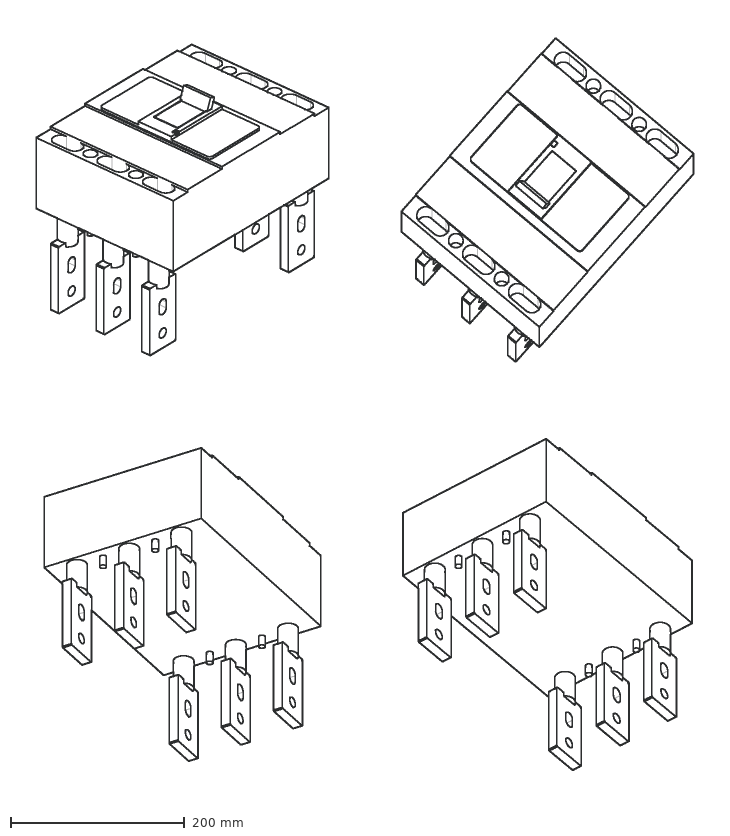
import cadquery as cq
import math

housing_width = 210.0
housing_length = 272.0
ledge_z = 96.0
step_z = 99.5
middle_z = 102.5
step_length = 221.8
middle_length = 101.5

cover_width = 169.0
cover_length = 89.0
cover_corner_radius = 4.5
cover_center_x = 0.3
cover_center_y = -4.3
cover_z = 105.7
panel_width = 50.5
panel_z = 110.0

handle_width = 41.2
handle_thickness = 7.2
handle_lean = math.radians(20)
handle_top_z = 126.0
handle_front_y = 19.5
handle_root_depth = 3.0

window_width = 36.5
window_length = 49.0
window_edge_depth = 1.2
window_crown_depth = 0.5

recess_width = 5.5
recess_length = 6.5
recess_depth = 2.0
recess_x = 22.2
recess_y = -37.2

total_length = 288.0
pole_pitch = 69.7
plate_thickness = 12.0
plate_width = 45.8
plate_top_z = -31.7
plate_bottom_z = -122.0
plate_corner = 1.2
post_diameter = 24.0
post_bottom_z = -37.2
plate_hole_diameter = 12.5
plate_hole_z = -101.7
plate_slot_length = 20.5
plate_slot_z = -66.2

opening_depth = 46.0
slot_length = 42.3

screw_head_diameter = 16.7
screw_head_height = 7.5
screw_flat_diameter = 5.2
screw_shank_diameter = 7.8
screw_end_z = -13.2

terminal_y = (total_length - plate_width) / 2
pole_xs = [-pole_pitch, 0, pole_pitch]
terminal_places = [(x, side * terminal_y) for x in pole_xs for side in (-1, 1)]
screw_places = [(x, side * terminal_y) for x in (-pole_pitch / 2, pole_pitch / 2) for side in (-1, 1)]
slot_width = 2 * (terminal_y - step_length / 2)
opening_floor_z = ledge_z - opening_depth


def block(width, length, bottom_z, top_z, x=0, y=0):
    """Upright box centred on (x, y) between two heights."""
    return (
        cq.Workplane("XY", origin=(x, y, bottom_z))
        .rect(width, length)
        .extrude(top_z - bottom_z)
    )


def make_case():
    """Stepped block with the rounded cover plate and the panel on top."""
    case = block(housing_width, housing_length, 0, ledge_z)
    case = case.union(block(housing_width, step_length, ledge_z, step_z))
    case = case.union(block(housing_width, middle_length, step_z, middle_z))
    cover = block(cover_width, cover_length, middle_z, cover_z, cover_center_x, cover_center_y)
    cover = cover.edges("|Z").fillet(cover_corner_radius)
    panel = block(panel_width, cover_length, middle_z, panel_z, cover_center_x, cover_center_y)
    return case.union(cover).union(panel)


def make_handle():
    """Leaning slab that passes through the panel top and is rooted below the window floor."""
    slope = math.tan(handle_lean)
    root_z = panel_z - handle_root_depth
    front_root_y = handle_front_y - handle_root_depth * slope
    front_top_y = handle_front_y + (handle_top_z - panel_z) * slope
    back_top_y = front_top_y + handle_thickness * math.cos(handle_lean)
    back_top_z = handle_top_z - handle_thickness * math.sin(handle_lean)
    back_root_y = front_root_y + handle_thickness / math.cos(handle_lean)
    return (
        cq.Workplane("YZ")
        .moveTo(front_root_y, root_z)
        .lineTo(front_top_y, handle_top_z)
        .lineTo(back_top_y, back_top_z)
        .lineTo(back_root_y, root_z)
        .close()
        .extrude(handle_width / 2, both=True)
    )


def make_window_cut():
    """Shallow pocket with a floor arched along Y."""
    window_front_y = handle_front_y - window_length
    window_middle_y = handle_front_y - window_length / 2
    edge_z = panel_z - window_edge_depth
    return (
        cq.Workplane("YZ")
        .moveTo(window_front_y, panel_z)
        .lineTo(window_front_y, edge_z)
        .threePointArc((window_middle_y, panel_z - window_crown_depth), (handle_front_y, edge_z))
        .lineTo(handle_front_y, panel_z)
        .close()
        .extrude(window_width / 2, both=True)
    )


def make_opening_cuts():
    """Rounded slots above the terminals."""
    return (
        cq.Workplane("XY", origin=(0, 0, opening_floor_z))
        .pushPoints(terminal_places)
        .slot2D(slot_length, slot_width)
        .extrude(opening_depth)
    )


def make_screw_hole(x, y):
    """Clearance hole for the shank with a counterbore that seats the head."""
    shank_hole = cq.Workplane("XY", origin=(x, y, 0)).circle(screw_shank_diameter / 2).extrude(ledge_z)
    counterbore = (
        cq.Workplane("XY", origin=(x, y, opening_floor_z))
        .circle(screw_head_diameter / 2)
        .extrude(opening_depth)
    )
    return shank_hole.union(counterbore)


def make_terminal(x, y):
    """Round post carrying a flat plate with a round hole and a slot."""
    post = (
        cq.Workplane("XY", origin=(x, y, post_bottom_z))
        .circle(post_diameter / 2)
        .extrude(-post_bottom_z)
    )
    plate = block(plate_thickness, plate_width, plate_bottom_z, plate_top_z, x, y)
    plate = plate.edges("|X").chamfer(plate_corner)
    side_plane = cq.Workplane("YZ", origin=(x, y, 0))
    hole = (
        side_plane.center(0, plate_hole_z)
        .circle(plate_hole_diameter / 2)
        .extrude(plate_thickness, both=True)
    )
    slot = (
        side_plane.center(0, plate_slot_z)
        .slot2D(plate_slot_length, plate_hole_diameter, 90)
        .extrude(plate_thickness, both=True)
    )
    return plate.cut(hole).cut(slot).union(post)


def make_housing():
    """Case, handle and terminals as one solid, with every opening cut."""
    housing = make_case().cut(make_window_cut()).union(make_handle())
    housing = housing.cut(
        block(recess_width, recess_length, panel_z - recess_depth, panel_z, recess_x, recess_y)
    )
    housing = housing.cut(make_opening_cuts())
    for x, y in screw_places:
        housing = housing.cut(make_screw_hole(x, y))
    for x, y in terminal_places:
        housing = housing.union(make_terminal(x, y))
    return housing


def make_screw(x, y):
    """Screw with a domed head that ends in a small flat."""
    head_radius = screw_head_diameter / 2
    flat_radius = screw_flat_diameter / 2
    dome_radius = head_radius - flat_radius
    head_top_z = opening_floor_z + screw_head_height
    dome_base_z = head_top_z - dome_radius
    dome_middle = (
        flat_radius + dome_radius * math.sin(math.pi / 4),
        dome_base_z + dome_radius * math.cos(math.pi / 4),
    )
    profile = (
        cq.Workplane("XZ")
        .moveTo(0, screw_end_z)
        .lineTo(screw_shank_diameter / 2, screw_end_z)
        .lineTo(screw_shank_diameter / 2, opening_floor_z)
        .lineTo(head_radius, opening_floor_z)
        .lineTo(head_radius, dome_base_z)
        .threePointArc(dome_middle, (flat_radius, head_top_z))
        .lineTo(0, head_top_z)
        .close()
    )
    return profile.revolve(360, (0, 0, 0), (0, 1, 0)).translate((x, y, 0))


housing = make_housing()
screws = [make_screw(x, y) for x, y in screw_places]

result = cq.Compound.makeCompound([housing.val(), *[screw.val() for screw in screws]])